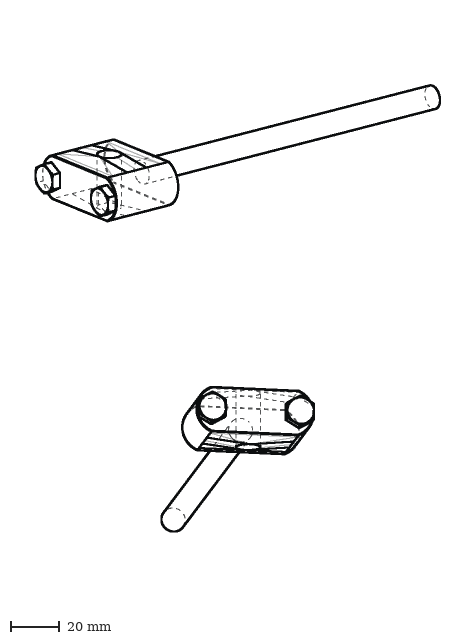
import cadquery as cq
import math

total_length = 188.8
head_height = 4.0
block_back = 36.6

block_width = 48.9
block_height = 18.9
flat_half_width = 18.1
end_chamfer = 0.28

pad_half_length = 12.7
overall_height = 22.8
pad_y = 19.6

hole_diameter = 10.0
rod_diameter = 10.0

head_across_flats = 11.1
head_chamfer_depth = 0.4
bolt_x = 18.3

HEXAGON_SIDES = 6


def make_block():
    """Flat bar with bulged ends, running along Y behind the bolt heads."""
    half_width = block_width / 2
    half_height = block_height / 2
    outline = (
        cq.Workplane("XZ", origin=(0, head_height, 0))
        .moveTo(-flat_half_width, -half_height)
        .lineTo(flat_half_width, -half_height)
        .threePointArc((half_width, 0), (flat_half_width, half_height))
        .lineTo(-flat_half_width, half_height)
        .threePointArc((-half_width, 0), (-flat_half_width, -half_height))
        .close()
    )
    bar = outline.extrude(head_height - block_back)
    return bar.faces("<Y or >Y").chamfer(end_chamfer)


def polygon_face(points):
    """Flat face bounded by the given points."""
    return cq.Face.makeFromWires(cq.Wire.makePolygon(points, close=True))


def make_top_pad():
    """Low pad that slopes from a rectangle on the block up to the round rim of the hole."""
    rim_radius = hole_diameter / 2
    base_z = block_height / 2
    rim_z = overall_height / 2

    def base_point(x, y):
        return cq.Vector(x, pad_y + y, base_z)

    def rim_point(x, y):
        return cq.Vector(x, pad_y + y, rim_z)

    faces = []
    rim_arcs = []
    for side_y in (1, -1):
        left_corner = base_point(-flat_half_width, side_y * pad_half_length)
        right_corner = base_point(flat_half_width, side_y * pad_half_length)
        rim_end = rim_point(0, side_y * rim_radius)
        faces.append(polygon_face([left_corner, right_corner, rim_end]))

        for side_x in (-1, 1):
            corner = base_point(side_x * flat_half_width, side_y * pad_half_length)
            edge_mid = base_point(side_x * flat_half_width, 0)
            edge_beside_rim = base_point(side_x * flat_half_width, side_y * rim_radius)
            faces.append(polygon_face([corner, edge_beside_rim, rim_end]))

            diagonal = rim_radius / math.sqrt(2)
            quarter_rim = cq.Edge.makeThreePointArc(
                rim_end,
                rim_point(side_x * diagonal, side_y * diagonal),
                rim_point(side_x * rim_radius, 0),
            )
            rim_arcs.append(quarter_rim)
            side_edge = cq.Edge.makeLine(edge_beside_rim, edge_mid)
            faces.append(cq.Face.makeRuledSurface(side_edge, quarter_rim))

    base_outline = [
        base_point(x * flat_half_width, y * pad_half_length)
        for x, y in ((-1, -1), (1, -1), (1, 1), (-1, 1))
    ]
    faces.append(polygon_face(base_outline))
    faces.append(cq.Face.makeFromWires(cq.Wire.combine(rim_arcs)[0]))
    return cq.Workplane(cq.Solid.makeSolid(cq.Shell.makeShell(faces)))


def make_bolt_heads():
    """Two hexagonal heads on the front of the block, each with a corner up."""
    across_corners = head_across_flats / math.cos(math.pi / HEXAGON_SIDES)
    head = (
        cq.Workplane("XZ")
        .polygon(HEXAGON_SIDES, across_corners)
        .extrude(-head_height)
        .rotate((0, 0, 0), (0, 1, 0), 180 / HEXAGON_SIDES)
    )
    outer_radius = across_corners / 2
    trimming_cone = (
        cq.Workplane("XY")
        .lineTo(head_across_flats / 2, 0)
        .lineTo(outer_radius, head_chamfer_depth)
        .lineTo(outer_radius, head_height)
        .lineTo(0, head_height)
        .close()
        .revolve(360, (0, 0, 0), (0, 1, 0))
    )
    head = head.intersect(trimming_cone)
    return head.translate((-bolt_x, 0, 0)).union(head.translate((bolt_x, 0, 0)))


def make_rod():
    """Round rod from the back of the block."""
    return (
        cq.Workplane("XZ", origin=(0, block_back, 0))
        .circle(rod_diameter / 2)
        .extrude(block_back - total_length)
    )


top_pad = make_top_pad()
body = make_block().union(top_pad).union(top_pad.mirror("XY"))
body = body.union(make_bolt_heads()).union(make_rod())

cross_hole = (
    cq.Workplane("XY", origin=(0, pad_y, 0))
    .circle(hole_diameter / 2)
    .extrude(block_height, both=True)
)
result = body.cut(cross_hole)